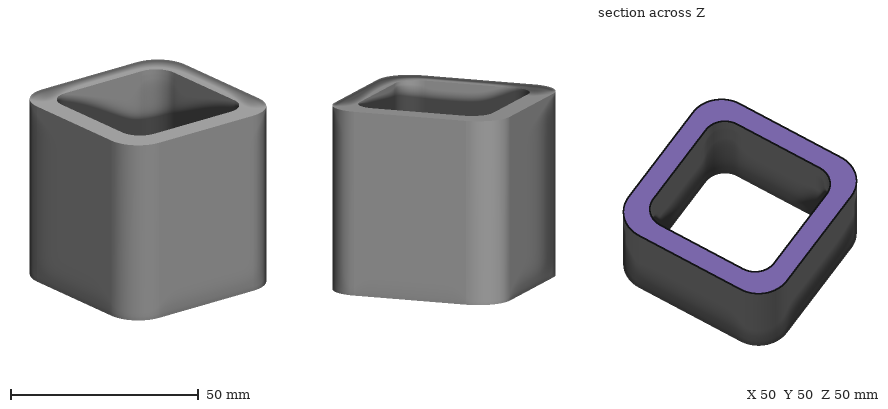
import cadquery as cq

side = 50.0
length = 50.0
wall = 6.0
outer_radius = 1.5 * wall
inner_radius = wall


def rounded_bar(width, corner_radius):
    """Square bar with its four long edges rounded, standing on the XY plane."""
    return cq.Workplane("XY").rect(width, width).extrude(length).edges("|Z").fillet(corner_radius)


outer = rounded_bar(side, outer_radius)
bore = rounded_bar(side - 2 * wall, inner_radius)

result = outer.cut(bore)